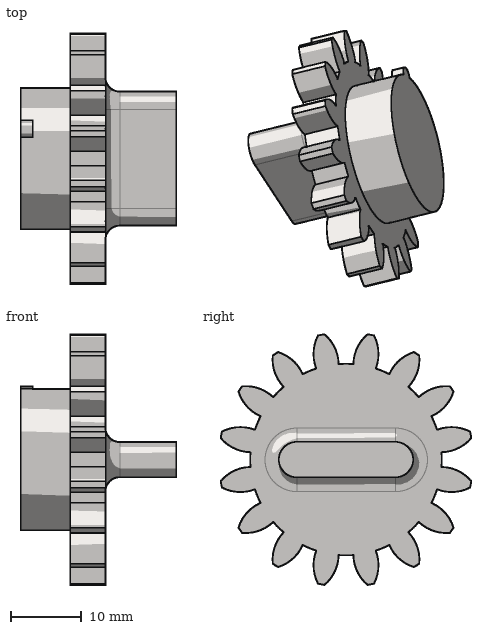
import cadquery as cq
import math

hub_length = 7.0
gear_width = 5.0
tang_length = 10.0

hub_radius = 10.0
key_radius = 1.25
key_length = 1.75
key_angle = 24.6

tooth_count = 16
root_radius = 13.55
tip_radius = 18.0
flank_radius = 15.75
root_half_width = 1.63
flank_half_width = 1.55
tip_half_width = 0.45

tang_thickness = 5.0
tang_width = 18.98
tang_fillet = 2.0

tooth_pitch = 360 / tooth_count


def rotate_point(radial, sideways, angle):
    """Turn a point given along and across a tooth into (Y, Z)."""
    a = math.radians(angle)
    return (
        radial * math.cos(a) - sideways * math.sin(a),
        radial * math.sin(a) + sideways * math.cos(a),
    )


def on_circle(radius, half_width):
    """Distance along the tooth at which a half width meets a circle."""
    return math.sqrt(radius**2 - half_width**2)


def make_gear():
    """Gear with bulging flanks; tooth gaps lie on the Y and Z axes."""
    root = on_circle(root_radius, root_half_width)
    tip = on_circle(tip_radius, tip_half_width)
    first_angle = tooth_pitch / 2
    outline = cq.Workplane("YZ").moveTo(*rotate_point(root, -root_half_width, first_angle))
    for i in range(tooth_count):
        angle = first_angle + i * tooth_pitch
        next_angle = angle + tooth_pitch
        outline = (
            outline
            .threePointArc(
                rotate_point(flank_radius, -flank_half_width, angle),
                rotate_point(tip, -tip_half_width, angle),
            )
            .threePointArc(
                rotate_point(tip_radius, 0, angle),
                rotate_point(tip, tip_half_width, angle),
            )
            .threePointArc(
                rotate_point(flank_radius, flank_half_width, angle),
                rotate_point(root, root_half_width, angle),
            )
        )
        outline = outline.threePointArc(
            rotate_point(root_radius, 0, angle + tooth_pitch / 2),
            rotate_point(root, -root_half_width, next_angle),
        )
    return outline.close().extrude(gear_width)


def make_hub():
    """Plain hub in front of the gear, with the key at its free end."""
    hub = cq.Workplane("YZ").circle(hub_radius).extrude(-hub_length)
    a = math.radians(key_angle)
    key = (
        cq.Workplane("YZ", origin=(-hub_length, 0, 0))
        .center(hub_radius * math.sin(a), hub_radius * math.cos(a))
        .circle(key_radius)
        .extrude(key_length)
    )
    return hub.union(key)


def make_tang():
    """Flat tang behind the gear."""
    return (
        cq.Workplane("YZ", origin=(gear_width, 0, 0))
        .slot2D(tang_width, tang_thickness)
        .extrude(tang_length)
    )


gear_and_tang = make_gear().union(make_tang())

margin = 0.05
half_width = tang_width / 2 + margin
half_thickness = tang_thickness / 2 + margin
tang_root = cq.selectors.BoxSelector(
    (gear_width - margin, -half_width, -half_thickness),
    (gear_width + margin, half_width, half_thickness),
)
gear_and_tang = gear_and_tang.edges(tang_root).fillet(tang_fillet)

result = gear_and_tang.union(make_hub())